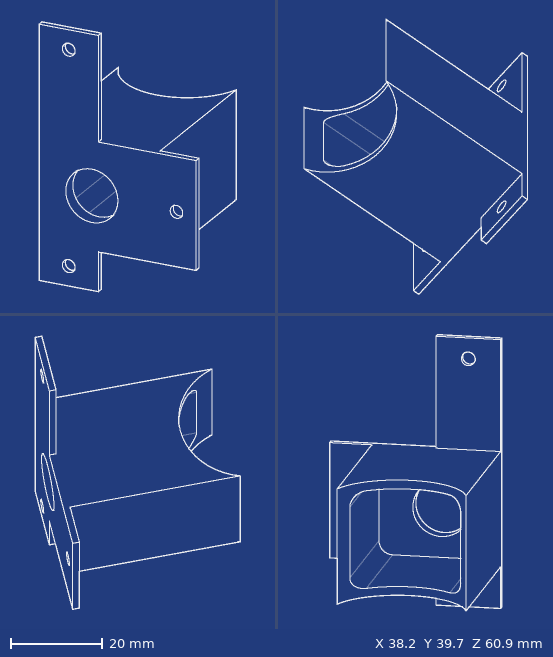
import cadquery as cq

plate_width = 38.2
plate_height = 60.9
plate_thickness = 1.5
strip_width = 14.45

block_width = 28.75
block_height = 26.15
block_bottom = 9.45
block_middle = block_bottom + block_height / 2
depth = 39.65

saddle_floor = 29.35
saddle_depth = depth - saddle_floor

wall = 2.0
front_wall = plate_thickness + wall
hollow_corner_radius = 3.05

bore_diameter = 12.7
bore_x = 12.85
screw_diameter = 3.05
screw_inset = 4.75
strip_screw_x = strip_width / 2


def box(width, length, height, bottom):
    """Box with its left front edge on the Z axis."""
    return cq.Workplane("XY", origin=(0, 0, bottom)).box(width, length, height, centered=False)


def hole(x, z, diameter, length):
    """Cylinder running in +Y from the front face."""
    return cq.Workplane("XZ", origin=(x, 0, z)).circle(diameter / 2).extrude(-length)


def hollow():
    """Cavity with rounded lengthwise corners, from the front wall out through the saddle."""
    return (
        cq.Workplane("XZ", origin=(block_width / 2, front_wall, block_middle))
        .rect(block_width - 2 * wall, block_height - 2 * wall)
        .extrude(front_wall - depth)
        .edges("|Y")
        .fillet(hollow_corner_radius)
    )


strip = box(strip_width, plate_thickness, plate_height, 0)
tab = box(plate_width, plate_thickness, block_height, block_bottom)

block = (
    cq.Workplane("XY", origin=(0, 0, block_bottom))
    .lineTo(block_width, 0)
    .lineTo(block_width, depth)
    .threePointArc((block_width / 2, depth - saddle_depth), (0, depth))
    .close()
    .extrude(block_height)
)

result = block.union(strip).union(tab)

result = result.cut(hollow())
result = result.cut(hole(bore_x, block_middle, bore_diameter, front_wall))

screw_places = [
    (strip_screw_x, screw_inset),
    (strip_screw_x, plate_height - screw_inset),
    (plate_width - screw_inset, block_middle),
]
for x, z in screw_places:
    result = result.cut(hole(x, z, screw_diameter, plate_thickness))